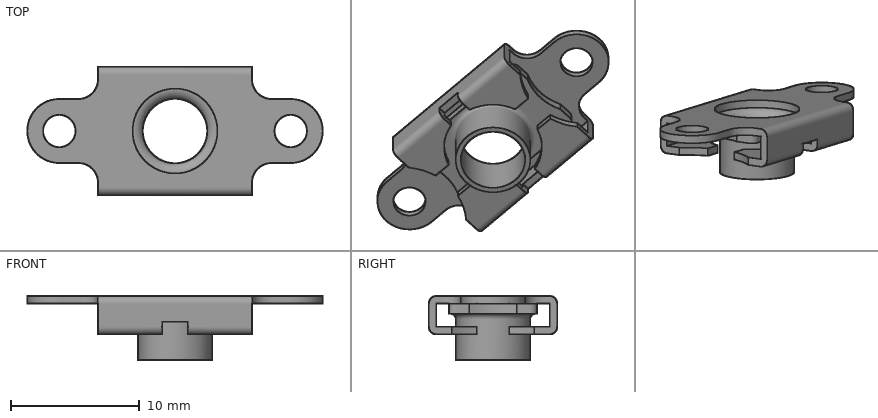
import cadquery as cq
import math


sheet = 0.6
channel_length = 12.0
channel_width = 10.0
channel_height = 3.0
bend_radius = sheet
lip_gap = 2.5

ear_offset = 9.0
ear_radius = 2.5
ear_hole_diameter = 2.5
ear_root_radius = 1.5

lip_end_radius = 5.0
lip_end_offset = 9.825

access_radius = 3.3
barrel_clearance = 3.8
notch_width = 2.0
notch_depth = 1.0

nut_bottom = -5.0
barrel_radius = 2.9
bore_radius = 2.5
flange_length = 11.0
flange_width = 6.85
flange_thickness = 0.8
flange_corner_radius = 0.55
scoop_radius = 4.4
scoop_width = 3.67
underside_fillet = 0.4
mouth_radius = access_radius - bore_radius

scoop_offset = flange_length / 2 + math.sqrt(scoop_radius**2 - (scoop_width / 2) ** 2)
flange_top = -sheet
flange_bottom = flange_top - flange_thickness


def mirrored_centres(offset):
    """Two points on the X axis, one on each side of the nut axis."""
    return [(-offset, 0), (offset, 0)]


def cylinder(radius, bottom, top, centres=((0, 0),)):
    """Upright cylinders of one radius, standing on the given XY centres."""
    return (
        cq.Workplane("XY", origin=(0, 0, bottom))
        .pushPoints(list(centres))
        .circle(radius)
        .extrude(top - bottom)
    )


def block(length, width, bottom, top):
    """Upright box centred on the Z axis."""
    return cq.Workplane("XY", origin=(0, 0, bottom)).rect(length, width).extrude(top - bottom)


def make_channel():
    """C-shaped channel along X, open at both ends and along the lip gap."""
    outer = block(channel_length, channel_width, -channel_height, 0).edges("|X").fillet(bend_radius)
    inner = block(channel_length, channel_width - 2 * sheet, sheet - channel_height, -sheet)
    gap = block(channel_length, lip_gap, -channel_height, -sheet)
    return outer.cut(inner).cut(gap)


def make_ears():
    """Round-ended strap through both ears, with concave roots at the channel ends."""
    strap = cq.Workplane("XY").slot2D(2 * (ear_offset + ear_radius), 2 * ear_radius).extrude(-sheet)
    root_x = channel_length / 2 + ear_root_radius
    root_y = ear_radius + ear_root_radius
    root_plate = block(2 * root_x, 2 * root_y, -sheet, 0)
    root_centres = [(x, y) for x in (-root_x, root_x) for y in (-root_y, root_y)]
    return strap.union(root_plate.cut(cylinder(ear_root_radius, -sheet, 0, root_centres)))


def make_bracket():
    lip_top = sheet - channel_height
    channel = (
        make_channel()
        .cut(cylinder(lip_end_radius, -channel_height, lip_top, mirrored_centres(lip_end_offset)))
        .cut(cylinder(barrel_clearance, -channel_height, lip_top))
        .cut(block(notch_width, channel_width, -channel_height, notch_depth - channel_height))
    )
    return (
        channel.union(make_ears())
        .cut(cylinder(access_radius, -sheet, 0))
        .cut(cylinder(ear_hole_diameter / 2, -sheet, 0, mirrored_centres(ear_offset)))
    )


def make_nut():
    flange = (
        block(flange_length, flange_width, flange_bottom, flange_top)
        .edges("|Z")
        .fillet(flange_corner_radius)
        .cut(cylinder(scoop_radius, flange_bottom, flange_top, mirrored_centres(scoop_offset)))
    )
    fillet_end_radius = barrel_radius + underside_fillet
    barrel = (
        cq.Workplane("XZ")
        .moveTo(0, nut_bottom)
        .lineTo(barrel_radius, nut_bottom)
        .lineTo(barrel_radius, flange_bottom - underside_fillet)
        .radiusArc((fillet_end_radius, flange_bottom), underside_fillet)
        .lineTo(fillet_end_radius, flange_top)
        .lineTo(0, flange_top)
        .close()
        .revolve(360, (0, 0, 0), (0, 1, 0))
    )
    bore = (
        cq.Workplane("XZ")
        .moveTo(0, nut_bottom)
        .lineTo(bore_radius, nut_bottom)
        .lineTo(bore_radius, flange_top - mouth_radius)
        .radiusArc((bore_radius + mouth_radius, flange_top), mouth_radius)
        .lineTo(0, flange_top)
        .close()
        .revolve(360, (0, 0, 0), (0, 1, 0))
    )
    return flange.union(barrel).cut(bore)


bracket = make_bracket().solids()
nut = make_nut().solids()

result = cq.Compound.makeCompound([bracket.val(), nut.val()])